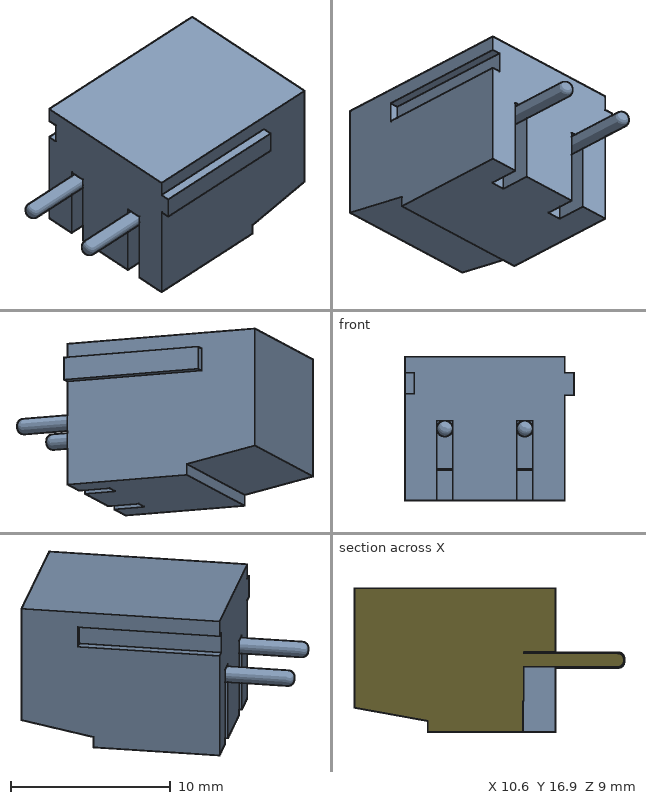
import cadquery as cq

overall_length = 16.9
body_width = 10.0
body_height = 9.0
body_length = 12.59

ramp_length = 4.58
ramp_front_height = 0.7
ramp_rear_height = 1.52

interlock_length = 9.0
interlock_drop = 1.0
groove_height = 1.32
groove_depth = 0.59
rib_height = 1.42
rib_depth = 0.59

pin_count = 2
pin_diameter = 1.0
pin_pitch = body_width / pin_count
pin_length = overall_length - body_length
pin_tip_radius = 0.4
slot_width = pin_diameter
slot_height = 5.0
slot_depth = 2.0
slot_step_height = 1.9
slot_step_rise = 0.1
slot_step_run = 0.05
pin_height = slot_height - pin_diameter / 2


def make_housing():
    """Side profile in the YZ plane, extruded across the width."""
    ramp_start = body_length - ramp_length
    return (
        cq.Workplane("YZ")
        .polyline([
            (0, 0),
            (ramp_start, 0),
            (ramp_start, ramp_front_height),
            (body_length, ramp_rear_height),
            (body_length, body_height),
            (0, body_height),
        ])
        .close()
        .extrude(body_width)
    )


def make_interlock_bar(left_x, depth, height):
    """Bar running back from the pin face, its top level with the interlock."""
    bottom_z = body_height - interlock_drop - height
    return (
        cq.Workplane("XY")
        .box(depth, interlock_length, height, centered=False)
        .translate((left_x, 0, bottom_z))
    )


def make_slot(center_x):
    """Slot open at the front and below, slightly deeper under a sloped step."""
    lower_depth = slot_depth + slot_step_run
    return (
        cq.Workplane("YZ", origin=(center_x, 0, 0))
        .polyline([
            (0, 0),
            (lower_depth, 0),
            (lower_depth, slot_step_height),
            (slot_depth, slot_step_height + slot_step_rise),
            (slot_depth, slot_height),
            (0, slot_height),
        ])
        .close()
        .extrude(slot_width / 2, both=True)
    )


def make_pin(center_x):
    """Round-tipped pin from the back wall of its slot out past the pin face."""
    return (
        cq.Workplane("XZ", origin=(center_x, slot_depth, pin_height))
        .circle(pin_diameter / 2)
        .extrude(slot_depth + pin_length)
        .faces("<Y")
        .edges()
        .fillet(pin_tip_radius)
    )


result = make_housing()
result = result.union(make_interlock_bar(body_width, rib_depth, rib_height))
result = result.cut(make_interlock_bar(0, groove_depth, groove_height))

for index in range(pin_count):
    pin_x = pin_pitch * (index + 0.5)
    result = result.cut(make_slot(pin_x)).union(make_pin(pin_x))